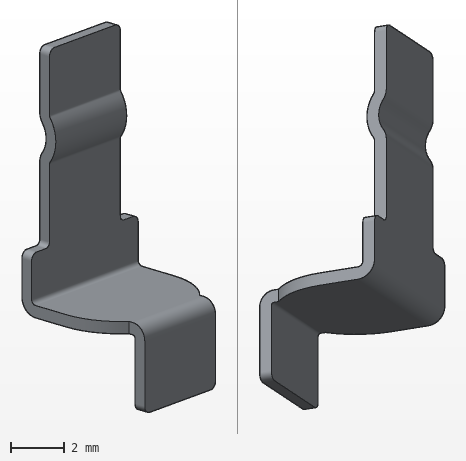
import cadquery as cq
import math

height = 13.4
length = 5.3
wide = 6.0
narrow = 3.99
thickness = 0.5

lower_bend_inner = 0.2
upper_bend_inner = 0.11
lower_bend_outer = lower_bend_inner + thickness
upper_bend_outer = upper_bend_inner + thickness
corner_radius = 0.3
shoulder_fillet = 0.2

shelf_bottom = 3.02
shelf_top = shelf_bottom + thickness
shoulder_level = 5.52
shelf_round_x = 2.26
leg_inner_x = length - thickness

bump_level = 9.8
bump_depth = 0.32
bump_inner_radius = 1.0
bump_outer_radius = bump_inner_radius + thickness
bump_lead_radius = 0.7
bump_angle = math.acos(1 - bump_depth / (bump_inner_radius + bump_lead_radius))
bump_half_height = (bump_inner_radius + bump_lead_radius) * math.sin(bump_angle)


def add_bump(path, face_x, crest_radius, direction):
    """Add three tangent arcs along one sheet face; direction is +1 going up, -1 going down."""
    crest_x = face_x + bump_depth
    join_x = crest_x - crest_radius * (1 - math.cos(bump_angle))
    join_offset = direction * crest_radius * math.sin(bump_angle)
    end_offset = direction * bump_half_height
    return (
        path.lineTo(face_x, bump_level - end_offset)
        .tangentArcPoint((join_x, bump_level - join_offset), relative=False)
        .tangentArcPoint((join_x, bump_level + join_offset), relative=False)
        .tangentArcPoint((face_x, bump_level + end_offset), relative=False)
    )


def bent_strip():
    """Sheet folded into an upright, a shelf and a hanging leg, at full width."""
    path = cq.Workplane("XZ").moveTo(0, shelf_bottom + lower_bend_outer)
    path = add_bump(path, 0, bump_inner_radius, 1)
    path = path.lineTo(0, height).lineTo(thickness, height)
    path = add_bump(path, thickness, bump_outer_radius, -1)
    path = (
        path.lineTo(thickness, shelf_top + lower_bend_inner)
        .tangentArcPoint((lower_bend_outer, shelf_top), relative=False)
        .lineTo(length - upper_bend_outer, shelf_top)
        .tangentArcPoint((length, shelf_top - upper_bend_outer), relative=False)
        .lineTo(length, 0)
        .lineTo(leg_inner_x, 0)
        .lineTo(leg_inner_x, shelf_bottom - upper_bend_inner)
        .tangentArcPoint((length - upper_bend_outer, shelf_bottom), relative=False)
        .lineTo(lower_bend_outer, shelf_bottom)
        .tangentArcPoint((0, shelf_bottom + lower_bend_outer), relative=False)
        .close()
    )
    return path.extrude(wide / 2, both=True)


def plan_outline():
    """Prism of the shelf outline: wide root, round flanks and narrow end."""
    root = cq.Workplane("XY").rect(2 * shelf_round_x, wide).extrude(height)
    flanks = cq.Workplane("XY").center(shelf_round_x, 0).circle(wide / 2).extrude(height)
    end = cq.Workplane("XY").rect(2 * length, narrow).extrude(height)
    return root.union(flanks).union(end)


def face_outline():
    """Prism of the strip outline seen along X: narrow strip with wide shoulders."""
    strip = (
        cq.Workplane("YZ")
        .center(0, height / 2)
        .rect(narrow, height)
        .extrude(length)
        .edges("|X")
        .fillet(corner_radius)
    )
    shoulder_height = shoulder_level - shelf_bottom
    shoulders = (
        cq.Workplane("YZ")
        .center(0, shelf_bottom + shoulder_height / 2)
        .rect(wide, shoulder_height)
        .extrude(length)
        .edges("|X and >Z")
        .fillet(corner_radius)
    )
    margin = 0.13
    neck_corners = cq.selectors.BoxSelector(
        (-margin, -narrow / 2 - margin, shoulder_level - margin),
        (length + margin, narrow / 2 + margin, shoulder_level + margin),
    )
    outline = strip.union(shoulders)
    return outline.edges("|X").edges(neck_corners).fillet(shoulder_fillet)


result = bent_strip().intersect(plan_outline()).intersect(face_outline())